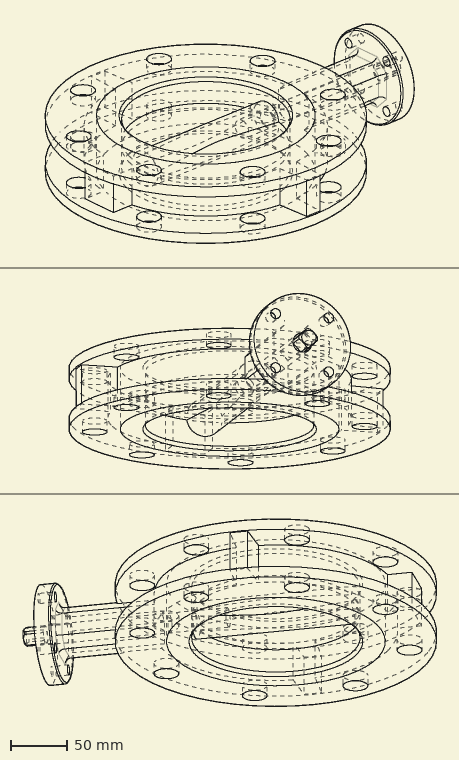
import cadquery as cq


face_to_face = 56.0
flange_diameter = 285.0
flange_thickness = 10.0
hub_diameter = 216.0
flange_gap = face_to_face - 2 * flange_thickness
bolt_circle = 240.0
bolt_hole_diameter = 22.0
bolt_count = 8

foot_width = 37.0
foot_reach = 128.5
side_rib_reach = 140.5
side_rib_tip_width = 16.0
side_rib_root_width = 20.0

neck_width = 40.0
neck_chamfer = 9.5
neck_fillet = 5.0
mount_diameter = 90.0
mount_thickness = 15.0
mount_top = 210.0
mount_bottom = mount_top - mount_thickness
mount_edge_chamfer = 1.4
mount_bolt_circle = 70.0
mount_hole_diameter = 9.0
mount_hole_count = 4
mount_hole_start = 45.0
selection_margin = 1.0

liner_diameter = 194.0
bore_diameter = 149.4
mouth_diameter = 154.0
mouth_depth = 3.5

disc_rim_thickness = 6.0
disc_centre_thickness = 17.0
disc_hub_diameter = 33.2
disc_hub_length = 147.2

stem_top = 229.0
stem_diameter = 17.4
stem_square = 14.0
stem_square_turn = 45.0
stem_end_chamfer = 2.0
stem_socket_depth = 30.0
stem_bottom = disc_hub_length / 2 - stem_socket_depth


def cylinder_z(diameter, height):
    """A cylinder on the bore axis, centred on Z = 0."""
    return cq.Workplane("XY").circle(diameter / 2).extrude(height / 2, both=True)


def plane_across_y(y):
    """A sketch plane normal to the stem axis, extruding toward +Y."""
    return cq.Workplane(cq.Plane(origin=(0, y, 0), xDir=(1, 0, 0), normal=(0, 1, 0)))


def make_stem():
    """A round shaft with a square drive that stands above the mounting flange."""
    shaft = plane_across_y(stem_bottom).circle(stem_diameter / 2).extrude(stem_top - stem_bottom)
    shaft = shaft.faces(">Y").chamfer(stem_end_chamfer)
    drive_length = stem_top - mount_top
    drive_zone = plane_across_y(mount_top).rect(2 * stem_diameter, 2 * stem_diameter).extrude(drive_length)
    square = (
        plane_across_y(mount_top)
        .transformed(rotate=(0, 0, stem_square_turn))
        .rect(stem_square, stem_square)
        .extrude(drive_length)
    )
    return shaft.cut(drive_zone.cut(square))


def stem_hole():
    """The space the round shaft takes up below the drive square."""
    return plane_across_y(stem_bottom).circle(stem_diameter / 2).extrude(mount_top - stem_bottom)


def make_neck():
    """An eight-sided neck flared into the round mounting flange."""
    neck = (
        plane_across_y(0)
        .rect(neck_width, neck_width)
        .extrude(mount_bottom)
        .edges("|Y")
        .chamfer(neck_chamfer)
    )
    mount = (
        plane_across_y(mount_bottom)
        .circle(mount_diameter / 2)
        .extrude(mount_thickness)
        .faces("<Y")
        .chamfer(mount_edge_chamfer)
    )
    foot_of_mount = cq.selectors.BoxSelector(
        (-neck_width, mount_bottom - selection_margin, -neck_width),
        (neck_width, mount_bottom + selection_margin, neck_width),
    )
    neck = neck.union(mount).edges(foot_of_mount).edges("not %CIRCLE").fillet(neck_fillet)
    mount_holes = (
        plane_across_y(mount_bottom)
        .polarArray(mount_bolt_circle / 2, mount_hole_start, 360, mount_hole_count)
        .circle(mount_hole_diameter / 2)
        .extrude(mount_thickness)
    )
    return neck.cut(mount_holes)


def make_ribs():
    """A square foot at -Y and a tapered rib at each X side, filling the gap between the flanges."""
    foot = cq.Workplane("XY").center(0, -foot_reach / 2).rect(foot_width, foot_reach)
    ribs = foot.extrude(flange_gap / 2, both=True)
    hub_radius = hub_diameter / 2
    for side in (-1, 1):
        rib = cq.Workplane("XY").polyline(
            [
                (0, -side_rib_root_width / 2),
                (side * hub_radius, -side_rib_root_width / 2),
                (side * side_rib_reach, -side_rib_tip_width / 2),
                (side * side_rib_reach, side_rib_tip_width / 2),
                (side * hub_radius, side_rib_root_width / 2),
                (0, side_rib_root_width / 2),
            ]
        )
        ribs = ribs.union(rib.close().extrude(flange_gap / 2, both=True))
    return ribs


def make_body():
    """Hub, two bolted flanges, ribs and neck, opened for the liner and the stem."""
    body = cylinder_z(hub_diameter, face_to_face)
    for z in (-face_to_face / 2, face_to_face / 2 - flange_thickness):
        flange = (
            cq.Workplane("XY")
            .workplane(offset=z)
            .circle(flange_diameter / 2)
            .extrude(flange_thickness)
        )
        body = body.union(flange)
    body = body.union(make_ribs()).union(make_neck())
    bolt_holes = (
        cq.Workplane("XY")
        .polarArray(bolt_circle / 2, 180 / bolt_count, 360, bolt_count)
        .circle(bolt_hole_diameter / 2)
        .extrude(face_to_face / 2, both=True)
    )
    return body.cut(bolt_holes).cut(cylinder_z(liner_diameter, face_to_face)).cut(stem_hole())


def make_liner():
    """A ring with a bevelled mouth at each end of the bore."""
    half_height = face_to_face / 2
    bore_radius = bore_diameter / 2
    mouth_radius = mouth_diameter / 2
    ring = (
        cq.Workplane("XZ")
        .moveTo(liner_diameter / 2, -half_height)
        .lineTo(liner_diameter / 2, half_height)
        .lineTo(mouth_radius, half_height)
        .lineTo(bore_radius, half_height - mouth_depth)
        .lineTo(bore_radius, mouth_depth - half_height)
        .lineTo(mouth_radius, -half_height)
        .close()
        .revolve(360, (0, 0, 0), (0, 1, 0))
    )
    return ring.cut(stem_hole())


def make_disc():
    """A closed disc with shallow conical faces and a round hub along the stem axis."""
    rim_radius = bore_diameter / 2
    plate = (
        cq.Workplane("XZ")
        .moveTo(0, -disc_centre_thickness / 2)
        .lineTo(rim_radius, -disc_rim_thickness / 2)
        .lineTo(rim_radius, disc_rim_thickness / 2)
        .lineTo(0, disc_centre_thickness / 2)
        .close()
        .revolve(360, (0, 0, 0), (0, 1, 0))
    )
    hub = plane_across_y(-disc_hub_length / 2).circle(disc_hub_diameter / 2).extrude(disc_hub_length)
    hub = hub.intersect(cylinder_z(bore_diameter, face_to_face))
    return plate.union(hub).cut(stem_hole())


body = make_body()
liner = make_liner()
disc = make_disc()
stem = make_stem()

result = cq.Compound.makeCompound([body.val(), liner.val(), disc.val(), stem.val()])